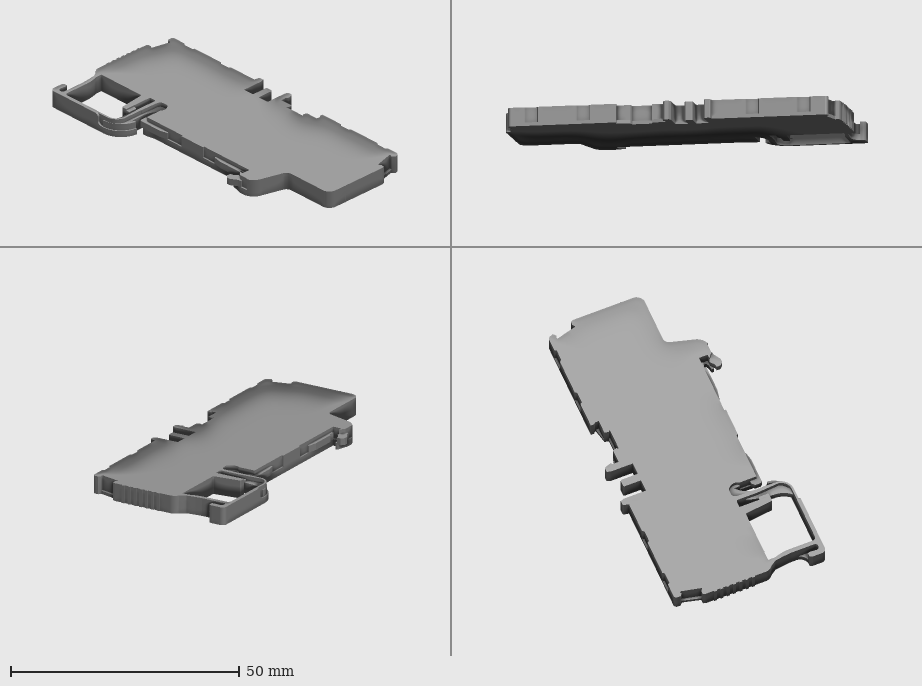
import cadquery as cq

THICKNESS = 4.15
LEDGE_Z = 0.75
FOOT_WEB_Z = 1.35
TONGUE_BOTTOM = 1.5
TONGUE_TOP = 3.1
LIP_BOTTOM = 3.3
LIP_TOP = 3.8

LENGTH = 75.5
TOP_Y = 35.25
PRONG_TOP_Y = 36.6
SHOULDER_Y = 29.1
WALL_TOP = 28.5
WALL_LEFT = 0.45
WALL_RIGHT = 75.3
BASE_Y = 6.4
RECESS_Y = 6.8
LUG_Y = 6.0
BODY_LEFT = 23.1
BODY_SETBACK_LEFT = 23.4
FOOT_WALL = 55.2
FOOT_SETBACK_WALL = 55.8
FOOT_Y = 3.4
LEG_X = 2.7
STRIP_TOP = 0.9
STRIP_SETBACK = 0.45
TONGUE_SETBACK = 0.2
WINDOW_TOP = 12.6
POST_RIGHT = 17.75
ARM_LEFT = 19.55
ARM_RIGHT = 20.4
ARM_TIP_X = 22.1
ARM_TIP_Y = 5.0
BEND_X = 16.8
OVERLAP = 0.15


def prism(points, bottom, top):
    """Straight-sided outline extruded between two Z levels."""
    return cq.Workplane("XY", origin=(0, 0, bottom)).polyline(points).close().extrude(top - bottom)


def block(x0, x1, y0, y1, bottom, top):
    """Rectangular prism given by its limits."""
    return prism([(x0, y0), (x1, y0), (x1, y1), (x0, y1)], bottom, top)


def make_plate():
    """Full-thickness plate with prongs, marker seat, fixed foot and clip slot."""
    return (
        cq.Workplane("XY")
        .moveTo(WALL_LEFT, 14.1)
        .lineTo(WALL_LEFT, WALL_TOP)
        .lineTo(0.7, SHOULDER_Y)
        .lineTo(1.6, SHOULDER_Y)
        .lineTo(2.65, 33.3)
        .lineTo(2.05, 33.8)
        .lineTo(2.05, 34.5)
        .threePointArc((2.2, 34.95), (2.6, TOP_Y))
        .lineTo(27.8, TOP_Y)
        .lineTo(28.0, 36.4)
        .lineTo(28.2, PRONG_TOP_Y)
        .lineTo(29.2, PRONG_TOP_Y)
        .lineTo(29.5, 35.8)
        .lineTo(29.5, 30.5)
        .lineTo(32.3, 30.5)
        .lineTo(32.3, 34.4)
        .lineTo(32.5, 34.65)
        .lineTo(33.9, 34.65)
        .lineTo(34.1, 34.4)
        .lineTo(34.1, 30.5)
        .lineTo(36.9, 30.5)
        .lineTo(36.9, 35.8)
        .lineTo(37.2, PRONG_TOP_Y)
        .lineTo(38.1, PRONG_TOP_Y)
        .lineTo(38.4, 36.4)
        .lineTo(38.9, 34.95)
        .lineTo(38.4, 34.5)
        .lineTo(38.5, 33.9)
        .lineTo(41.7, 33.2)
        .lineTo(41.9, 32.2)
        .lineTo(46.3, 32.2)
        .lineTo(46.5, 33.2)
        .lineTo(49.7, 33.9)
        .lineTo(49.7, 34.1)
        .lineTo(49.3, 34.5)
        .lineTo(49.3, TOP_Y)
        .lineTo(72.9, TOP_Y)
        .threePointArc((73.4, 34.95), (73.5, 34.5))
        .lineTo(73.75, 34.0)
        .lineTo(73.0, 33.3)
        .lineTo(74.1, SHOULDER_Y)
        .lineTo(75.1, SHOULDER_Y)
        .lineTo(WALL_RIGHT, WALL_TOP)
        .lineTo(WALL_RIGHT, 13.9)
        .threePointArc((75.1, 13.3), (74.65, 12.75))
        .threePointArc((74.1, 12.4), (73.5, 12.2))
        .lineTo(63.55, 12.2)
        .threePointArc((62.6, 12.0), (62.05, 11.5))
        .lineTo(60.5, 6.2)
        .threePointArc((59.4, 4.15), (57.8, FOOT_Y))
        .lineTo(56.4, FOOT_Y)
        .lineTo(53.45, 4.2)
        .lineTo(53.45, 4.75)
        .lineTo(54.5, 5.0)
        .lineTo(FOOT_WALL, 5.3)
        .lineTo(FOOT_WALL, BASE_Y)
        .lineTo(BODY_LEFT, BASE_Y)
        .lineTo(BODY_LEFT, 12.2)
        .threePointArc((21.5, 10.35), (20.9, 8.0))
        .lineTo(ARM_LEFT, 8.0)
        .lineTo(ARM_LEFT, 12.8)
        .threePointArc((19.4, 13.1), (19.2, 13.2))
        .lineTo(POST_RIGHT, 13.2)
        .lineTo(POST_RIGHT, LUG_Y)
        .lineTo(16.7, LUG_Y)
        .threePointArc((16.45, 6.05), (16.4, 6.3))
        .lineTo(15.7, 12.3)
        .threePointArc((15.6, 12.5), (15.4, WINDOW_TOP))
        .lineTo(3.0, WINDOW_TOP)
        .lineTo(2.3, 11.2)
        .lineTo(1.35, 12.5)
        .threePointArc((0.7, 13.3), (WALL_LEFT, 14.1))
        .close()
        .extrude(THICKNESS)
    )


def make_wall_ribs():
    """Grip ribs on the left wall and one small locating rib on the right wall."""
    rib_count = 7
    rib_pitch = 1.5
    rib_width = 0.7
    rib_face = 0.2
    lowest_rib = 17.2
    right_rib_bottom = 17.1
    right_rib_top = 17.3
    ribs = [block(WALL_RIGHT - OVERLAP, LENGTH, right_rib_bottom, right_rib_top, 0, THICKNESS)]
    for i in range(rib_count):
        y = lowest_rib + i * rib_pitch
        ribs.append(
            block(rib_face, WALL_LEFT + OVERLAP, y - rib_width / 2, y + rib_width / 2, 0, THICKNESS)
        )
    return ribs


def make_clip():
    """Leg, hook and bottom strip of the spring clip."""
    clip = (
        cq.Workplane("XY")
        .moveTo(3.0, WINDOW_TOP + OVERLAP)
        .lineTo(2.3, 11.2)
        .lineTo(2.6, 8.9)
        .lineTo(LEG_X, 7.3)
        .lineTo(LEG_X, 1.5)
        .threePointArc((2.0, 1.1), (1.2, 1.7))
        .lineTo(1.35, 3.4)
        .lineTo(1.2, 3.9)
        .lineTo(0.2, 3.9)
        .lineTo(0, 3.25)
        .lineTo(0, 1.0)
        .threePointArc((0.3, 0.3), (1.0, 0))
        .lineTo(BEND_X, 0)
        .lineTo(BEND_X, STRIP_TOP)
        .lineTo(4.5, STRIP_TOP)
        .threePointArc((3.9, 1.1), (3.7, 1.65))
        .lineTo(3.7, 7.7)
        .threePointArc((3.5, 9.4), (3.0, 11.0))
        .close()
        .extrude(THICKNESS)
    )
    web = (
        cq.Workplane("XY")
        .moveTo(LEG_X + OVERLAP, 6.05)
        .lineTo(LEG_X, 6.05)
        .threePointArc((2.1, 4.5), (1.1, 3.9))
        .lineTo(0.75, 0.75)
        .lineTo(LEG_X + OVERLAP, 0.75)
        .close()
        .extrude(FOOT_WEB_Z)
    )
    return clip.union(web)


def cut_strip_recess(body):
    """Set back the outer face of the strip, entered by an S-shaped shoulder."""
    recess_end = 18.35
    return body.cut(
        cq.Workplane("XZ")
        .moveTo(14.4, THICKNESS)
        .threePointArc((14.9, 3.85), (15.0, 3.4))
        .lineTo(15.0, 2.5)
        .threePointArc((15.25, 1.8), (15.85, TONGUE_BOTTOM))
        .lineTo(recess_end, TONGUE_BOTTOM)
        .lineTo(recess_end, THICKNESS)
        .close()
        .extrude(-STRIP_SETBACK)
    )


def arm_bend(setback, bottom, top):
    """Spring arm with its wide outer bend; setback moves the bend's outer face inwards."""
    return (
        cq.Workplane("XY", origin=(0, 0, bottom))
        .moveTo(BEND_X - setback - OVERLAP, setback)
        .lineTo(BEND_X, setback)
        .threePointArc((20.5 - setback, 1.5 + setback), (ARM_TIP_X - setback, ARM_TIP_Y))
        .lineTo(21.35, ARM_TIP_Y)
        .lineTo(21.05, 3.8)
        .lineTo(20.9, 8.1)
        .lineTo(ARM_LEFT, 8.1)
        .lineTo(19.9, 3.0)
        .threePointArc((19.3, 1.7), (17.75, STRIP_TOP))
        .lineTo(BEND_X - setback - OVERLAP, STRIP_TOP)
        .close()
        .extrude(top - bottom)
    )


def make_slim_arm():
    """Upper, slim part of the spring arm."""
    return (
        cq.Workplane("XY", origin=(0, 0, TONGUE_TOP))
        .moveTo(BEND_X - OVERLAP, STRIP_SETBACK)
        .lineTo(17.7, STRIP_SETBACK)
        .threePointArc((19.55, 1.35), (ARM_RIGHT, 2.9))
        .lineTo(ARM_RIGHT, 8.3)
        .lineTo(ARM_LEFT, 8.3)
        .lineTo(19.9, 3.0)
        .threePointArc((19.3, 1.7), (17.75, STRIP_TOP))
        .lineTo(BEND_X - OVERLAP, STRIP_TOP)
        .close()
        .extrude(THICKNESS - TONGUE_TOP)
    )


def make_arm_gusset():
    """Thickening on the window side of the spring arm."""
    return (
        cq.Workplane("XY", origin=(0, 0, TONGUE_BOTTOM))
        .moveTo(19.6, 11.25)
        .threePointArc((18.9, 9.2), (18.4, 6.95))
        .lineTo(18.2, 4.9)
        .threePointArc((17.75, 2.6), (16.6, STRIP_TOP))
        .lineTo(18.1, 0.75)
        .lineTo(20.1, 2.65)
        .close()
        .extrude(TONGUE_TOP - TONGUE_BOTTOM)
    )


def cut_clip_slot(body):
    """Widen the slot beside the spring arm above the tongue level."""
    return body.cut(
        cq.Workplane("XY", origin=(0, 0, TONGUE_TOP))
        .moveTo(ARM_RIGHT, 7.55)
        .lineTo(20.5, 12.7)
        .threePointArc((20.8, 13.35), (21.5, 13.65))
        .lineTo(22.65, 13.65)
        .threePointArc((23.4, 13.0), (23.7, 11.3))
        .lineTo(BODY_SETBACK_LEFT, 10.9)
        .lineTo(BODY_SETBACK_LEFT, 7.55)
        .close()
        .extrude(THICKNESS - TONGUE_TOP)
    )


def cut_foot_recesses(body):
    """Set back the lower edge on both sides of its centre, and the fixed foot."""
    recesses = [
        (BODY_LEFT - OVERLAP, 34.7, BASE_Y - OVERLAP, RECESS_Y),
        (41.5, FOOT_SETBACK_WALL, BASE_Y - OVERLAP, RECESS_Y),
        (BODY_LEFT - OVERLAP, BODY_SETBACK_LEFT, BASE_Y - OVERLAP, 10.9),
        (54.4, FOOT_SETBACK_WALL, 4.75, RECESS_Y),
    ]
    for x0, x1, y0, y1 in recesses:
        body = body.cut(block(x0, x1, y0, y1, TONGUE_BOTTOM, THICKNESS))
    foot_face = [(52.8, 3.0), (52.8, 5.05), (54.5, 5.05), (56.0, 3.8), (58.4, 3.8), (58.4, 3.0)]
    return body.cut(prism(foot_face, TONGUE_BOTTOM, THICKNESS))


def make_tongues():
    """Lugs and hook that stand out of the recesses at mid thickness."""
    left_lug = [
        (BODY_SETBACK_LEFT + OVERLAP, RECESS_Y + OVERLAP),
        (BODY_SETBACK_LEFT + OVERLAP, 8.3),
        (22.8, 8.3),
        (22.05, 7.7),
        (22.05, 6.3),
        (22.35, LUG_Y),
        (28.3, LUG_Y),
        (30.3, BASE_Y),
        (30.3, RECESS_Y + OVERLAP),
    ]
    right_lug = [
        (45.2, RECESS_Y + OVERLAP),
        (45.2, BASE_Y),
        (47.5, LUG_Y),
        (53.4, LUG_Y),
        (53.6, BASE_Y),
        (54.95, 6.2),
        (FOOT_WALL, RECESS_Y + OVERLAP),
    ]
    hook = [
        (56.6, 4.15),
        (54.5, 4.8),
        (53.45, 4.0),
        (52.75, 3.85),
        (52.75, 2.95),
        (53.45, 2.3),
        (54.3, 2.3),
        (55.85, 3.25),
        (56.6, FOOT_Y),
    ]
    return [prism(shape, TONGUE_BOTTOM, TONGUE_TOP) for shape in (left_lug, right_lug, hook)]


def make_post_lip():
    """Lip on the post that reaches over the arm gusset without touching it."""
    lip = [
        (POST_RIGHT - OVERLAP, LUG_Y),
        (18.65, LUG_Y),
        (18.65, 8.15),
        (18.2, 8.4),
        (POST_RIGHT - OVERLAP, 8.4),
    ]
    return prism(lip, LIP_BOTTOM, LIP_TOP)


def make_low_lug():
    """Short ramped lug below the left tongue."""
    lug = [
        (BODY_LEFT, BASE_Y + OVERLAP),
        (BODY_LEFT, LUG_Y),
        (24.1, LUG_Y),
        (26.35, BASE_Y),
        (26.35, BASE_Y + OVERLAP),
    ]
    return prism(lug, 0, TONGUE_BOTTOM)


def cut_upper_ledges(body):
    """Set back necks, marker seat and marking pits, leaving thin ledges below."""
    left_neck = [(1.5, SHOULDER_Y), (2.1, 28.7), (3.2, 33.35), (2.95, 33.6), (2.5, 33.3)]
    right_neck = [(74.2, SHOULDER_Y), (73.6, 28.7), (72.3, 33.4), (72.6, 33.6), (73.15, 33.3)]
    left_ramp = [(38.5, 33.2), (41.75, 33.2), (41.75, 34.0), (38.5, 34.0)]
    right_ramp = [(46.4, 33.2), (49.7, 33.2), (49.7, 34.0), (46.4, 34.0)]
    seat = [(41.5, 31.85), (46.65, 31.85), (46.3, 32.3), (41.9, 32.3)]
    cuts = [left_neck, right_neck, left_ramp, right_ramp, seat]
    pit_half_width = 1.6
    pit_floor_half_width = 1.3
    pit_depth = 0.45
    for x in (7.4, 18.9, 56.75, 68.3):
        cuts.append([
            (x - pit_half_width, TOP_Y),
            (x - pit_floor_half_width, TOP_Y - pit_depth),
            (x + pit_floor_half_width, TOP_Y - pit_depth),
            (x + pit_half_width, TOP_Y),
        ])
    for shape in cuts:
        body = body.cut(prism(shape, LEDGE_Z, THICKNESS))
    return body


body = make_plate().union(make_clip())
for rib in make_wall_ribs():
    body = body.union(rib)
body = cut_strip_recess(body)
body = cut_clip_slot(body)
body = cut_foot_recesses(body)
body = body.union(make_slim_arm())
body = body.union(arm_bend(0, 0, TONGUE_BOTTOM))
body = body.union(arm_bend(TONGUE_SETBACK, TONGUE_BOTTOM, TONGUE_TOP))
body = body.union(make_arm_gusset())
for tongue in make_tongues():
    body = body.union(tongue)
body = body.union(make_post_lip())
body = body.union(make_low_lug())
result = cut_upper_ledges(body)